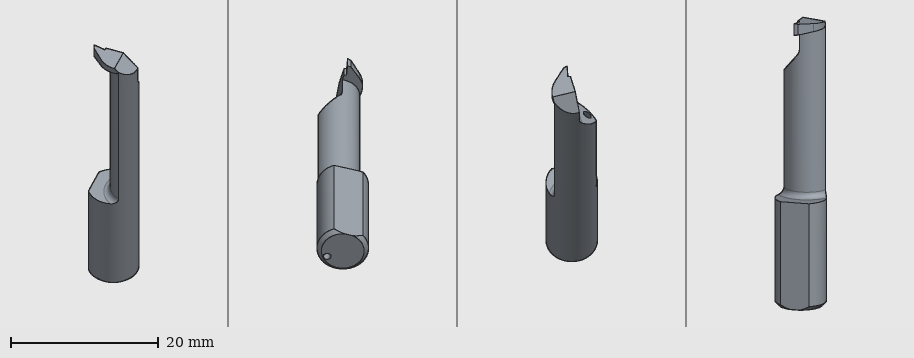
import cadquery as cq
import math

total_length = 40.0
shank_radius = 3.5
shank_length = 15.0
flat_x = -2.85
foot_chamfer_height = 0.6
foot_chamfer_width = 0.6

neck_left_x = -0.25
neck_half_width = 2.95
neck_fillet = 0.85

flank_y = 0.12
flank_end_z = 35.32
flank_slope_angle = 48.0
flank_fillet = 1.5

head_height = 1.62
tip_x = -2.8
tip_clearance_x = -2.65
tip_clearance_y = -0.42
heel_x = -0.97
rake_depth = 0.32
rake_end_x = -1.2
rake_step_x = -1.07
relief_angle = 5.0
side_relief_angle = 1.5
nose_chamfer_x = 1.40

coolant_x = 1.46
coolant_y = 1.78
coolant_diameter = 1.0

reach = 10.0

side_relief = math.tan(math.radians(side_relief_angle))

neck_corner_x = math.sqrt(shank_radius**2 - neck_half_width**2)
neck_sagitta = neck_corner_x - neck_left_x
neck_radius = (neck_sagitta**2 + neck_half_width**2) / (2 * neck_sagitta)
neck_center_x = neck_left_x + neck_radius


def make_round_bar():
    """Full-length round bar with a chamfered foot."""
    bar = cq.Workplane("XY").circle(shank_radius).extrude(total_length)
    return bar.faces("<Z").chamfer(foot_chamfer_height, foot_chamfer_width)


def make_envelope():
    """Flatted shank with the neck cylinder and its root fillet on top."""
    block_width = reach - flat_x
    block = (
        cq.Workplane("XY")
        .box(block_width, 2 * reach, shank_length, centered=(False, True, False))
        .translate((flat_x, 0, 0))
    )
    neck = (
        cq.Workplane("XZ")
        .moveTo(0, shank_length)
        .lineTo(neck_radius + neck_fillet, shank_length)
        .radiusArc((neck_radius, shank_length + neck_fillet), neck_fillet)
        .lineTo(neck_radius, total_length)
        .lineTo(0, total_length)
        .close()
        .revolve(360, (0, 0, 0), (0, 1, 0))
        .translate((neck_center_x, 0, 0))
    )
    return block.union(neck)


def make_flank_cutter():
    """Region removed on the +Y side of the flank, with a rounded run-out."""
    slope = math.radians(flank_slope_angle)
    run_out_z = flank_end_z - (reach - flank_y) * math.tan(slope)
    cutter = (
        cq.Workplane("YZ")
        .moveTo(flank_y, total_length + reach)
        .lineTo(flank_y, flank_end_z)
        .lineTo(reach, run_out_z)
        .lineTo(reach, total_length + reach)
        .close()
        .extrude(reach, both=True)
    )
    corner = cq.selectors.NearestToPointSelector((0, flank_y, flank_end_z))
    return cutter.edges(corner).fillet(flank_fillet)


def make_head():
    """Hooked cutting head: plan outline limited below by a relieved underside."""
    heel_y = tip_clearance_y - (heel_x - tip_clearance_x)
    head_base = total_length - head_height
    plan = (
        cq.Workplane("XY")
        .workplane(offset=head_base - head_height)
        .moveTo(tip_x, flank_y)
        .lineTo(tip_clearance_x, tip_clearance_y)
        .lineTo(heel_x, heel_y)
        .tangentArcPoint((neck_corner_x, -neck_half_width), relative=False)
        .lineTo(neck_corner_x, flank_y)
        .lineTo(rake_step_x, flank_y)
        .lineTo(rake_end_x, flank_y - rake_depth)
        .close()
        .extrude(2 * head_height)
    )
    underside = (
        cq.Workplane("XZ", origin=(0, flank_y, 0))
        .moveTo(tip_x - reach, 0)
        .lineTo(tip_x - reach, head_base)
        .lineTo(tip_x, head_base)
        .lineTo(tip_x + 2 * reach, head_base + 2 * reach * side_relief)
        .lineTo(tip_x + 2 * reach, 0)
        .close()
        .extrude(reach, taper=-relief_angle)
    )
    return plan.cut(underside)


def make_top_cutter():
    """Region above the top face and the 45 degree nose, deepening towards -Y."""
    nose_z = total_length - (nose_chamfer_x - tip_x) * side_relief
    return (
        cq.Workplane("XZ", origin=(0, flank_y, 0))
        .moveTo(-reach, total_length)
        .lineTo(tip_x, total_length)
        .lineTo(nose_chamfer_x, nose_z)
        .lineTo(nose_chamfer_x + reach, nose_z - reach)
        .lineTo(nose_chamfer_x + reach, total_length + reach)
        .lineTo(-reach, total_length + reach)
        .close()
        .extrude(reach, taper=-relief_angle)
    )


def make_coolant_hole():
    """Straight hole along the whole tool."""
    return (
        cq.Workplane("XY")
        .center(coolant_x, coolant_y)
        .circle(coolant_diameter / 2)
        .extrude(total_length)
    )


body = make_round_bar().intersect(make_envelope())
body = body.cut(make_flank_cutter())
body = body.union(make_head())
body = body.cut(make_top_cutter())
result = body.cut(make_coolant_hole())